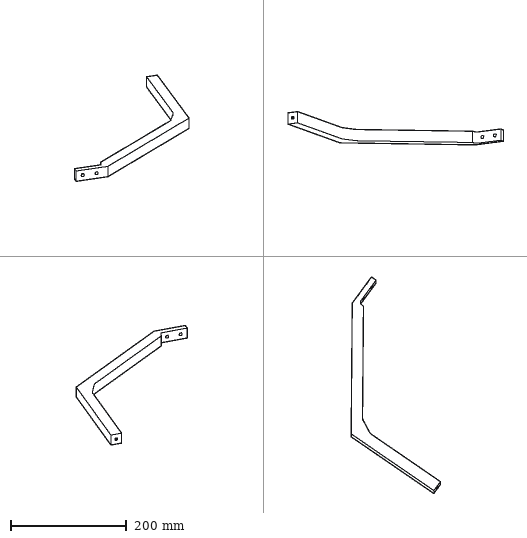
import cadquery as cq
import math

length = 310.0
depth = 250.0
height = 20.0

bar_width = 19.8
outer_bend_x = 175.8
tab_bend_y = 57.7
inner_bevel_leg = 16.5
bevel_fillet = 10.0

tab_thickness = 10.0
ledge_start_y = 51.0
ledge_tilt = math.radians(10)
tab_fillet = 5.0

tab_hole_diameter = 5.3
tab_hole_end_offset = 12.0
tab_hole_spacing = 25.0
end_hole_diameter = 3.0
end_hole_depth = 20.0
end_hole_mouth_diameter = 5.0
end_hole_mouth_angle = 90

slope = math.atan2(depth - tab_bend_y, length - outer_bend_x)

inner_y = depth - bar_width
inner_corner_x = outer_bend_x - bar_width * math.tan(slope / 2)
bevel_start = (inner_corner_x - inner_bevel_leg, inner_y)
bevel_end = (
    inner_corner_x + inner_bevel_leg * math.cos(slope),
    inner_y - inner_bevel_leg * math.sin(slope),
)

tab_inner_x = length - tab_thickness
ledge_start_x = inner_corner_x + (inner_y - ledge_start_y) / math.tan(slope)
ledge_start = (ledge_start_x, ledge_start_y)
ledge_end_y = ledge_start_y - (tab_inner_x - ledge_start_x) * math.tan(ledge_tilt)
ledge_end = (tab_inner_x, ledge_end_y)


def upright_edge(body, point):
    """Select the Z-direction edge standing at an outline point."""
    return body.edges(cq.selectors.NearestToPointSelector((*point, 0)))


def make_bar():
    outline = [
        (0, depth),
        (outer_bend_x, depth),
        (length, tab_bend_y),
        (length, 0),
        (tab_inner_x, 0),
        ledge_end,
        ledge_start,
        bevel_end,
        bevel_start,
        (0, inner_y),
    ]
    bar = cq.Workplane("XY").polyline(outline).close().extrude(height / 2, both=True)
    for corner in (bevel_start, bevel_end):
        bar = upright_edge(bar, corner).fillet(bevel_fillet)
    return upright_edge(bar, ledge_end).fillet(tab_fillet)


def make_tab_holes():
    centres = [(tab_hole_end_offset + i * tab_hole_spacing, 0) for i in range(2)]
    return (
        cq.Workplane("YZ", origin=(tab_inner_x, 0, 0))
        .pushPoints(centres)
        .circle(tab_hole_diameter / 2)
        .extrude(tab_thickness)
    )


def drill_end_hole(bar):
    """Drill a countersunk blind hole along X into the free end of the straight bar."""
    return (
        bar.faces("<X")
        .workplane(centerOption="CenterOfMass")
        .cskHole(end_hole_diameter, end_hole_mouth_diameter, end_hole_mouth_angle, end_hole_depth)
    )


result = drill_end_hole(make_bar()).cut(make_tab_holes())